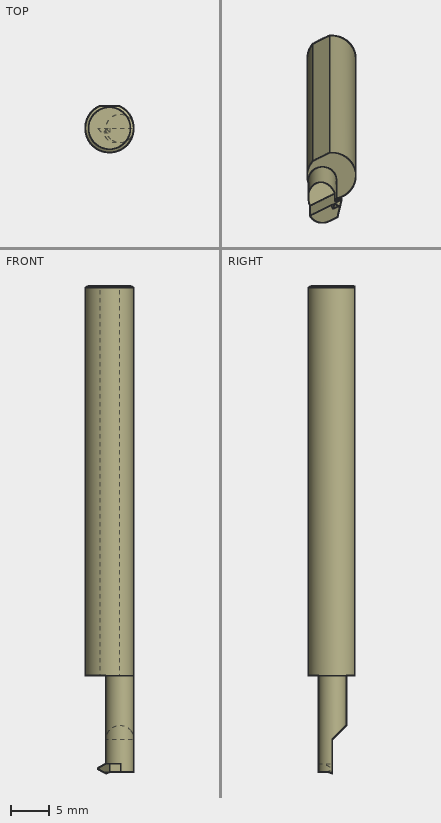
import cadquery as cq

overall_length = 63.5
shank_radius = 3.2
shank_bottom = 12.75
flat_y = 2.9
chamfer_width = 0.45
chamfer_height = 0.25

neck_radius = 1.85
neck_x = shank_radius - neck_radius
neck_bottom = 0.2

ramp_bottom = 4.45

tip_x = -1.5
tip_top = 0.7
tip_bottom = 0.6
shoulder_x = -0.6
tooth_top = 1.3
corner_x = -0.45
corner_end_x = 0.05
heel_x = 1.45
heel_y = -neck_radius
relief_depth = 0.6


def make_shank():
    """Round shank with a chamfered top rim and a flat on +Y."""
    rim_radius = shank_radius - chamfer_width
    shank = (
        cq.Workplane("XZ")
        .moveTo(0, shank_bottom)
        .lineTo(shank_radius, shank_bottom)
        .lineTo(shank_radius, overall_length - chamfer_height)
        .lineTo(rim_radius, overall_length)
        .lineTo(0, overall_length)
        .close()
        .revolve(360, (0, 0, 0), (0, 1, 0))
    )
    kept_side = cq.Workplane("XY").box(
        2 * shank_radius, flat_y + shank_radius, overall_length, centered=(True, False, False)
    ).translate((0, -shank_radius, 0))
    return shank.intersect(kept_side)


def make_neck():
    """Offset neck, halved below the ramp."""
    neck = (
        cq.Workplane("XY", origin=(neck_x, 0, neck_bottom))
        .circle(neck_radius)
        .extrude(shank_bottom - neck_bottom)
    )
    clearance = (
        cq.Workplane("YZ")
        .polyline([
            (0, 0),
            (shank_radius, 0),
            (shank_radius, ramp_bottom + shank_radius),
            (0, ramp_bottom),
        ])
        .close()
        .extrude(shank_radius, both=True)
    )
    return neck.cut(clearance)


def make_tooth():
    """Pointed tooth with side relief and relief under its lower corner."""
    profile = (
        cq.Workplane("XZ")
        .polyline([
            (tip_x, tip_top),
            (tip_x, tip_bottom),
            (corner_x, 0),
            (corner_end_x, neck_bottom),
            (heel_x, neck_bottom),
            (heel_x, tooth_top),
            (shoulder_x, tooth_top),
        ])
        .close()
        .extrude(neck_radius)
    )
    planform = (
        cq.Workplane("XY")
        .polyline([(tip_x, 0), (corner_end_x, heel_y), (heel_x, heel_y), (heel_x, 0)])
        .close()
        .extrude(tooth_top)
    )
    corner_relief = (
        cq.Workplane("YZ")
        .polyline([(0, 0), (-relief_depth, neck_bottom), (heel_y, neck_bottom), (heel_y, 0)])
        .close()
        .extrude(shank_radius, both=True)
    )
    return profile.intersect(planform).cut(corner_relief)


result = make_shank().union(make_neck()).union(make_tooth())